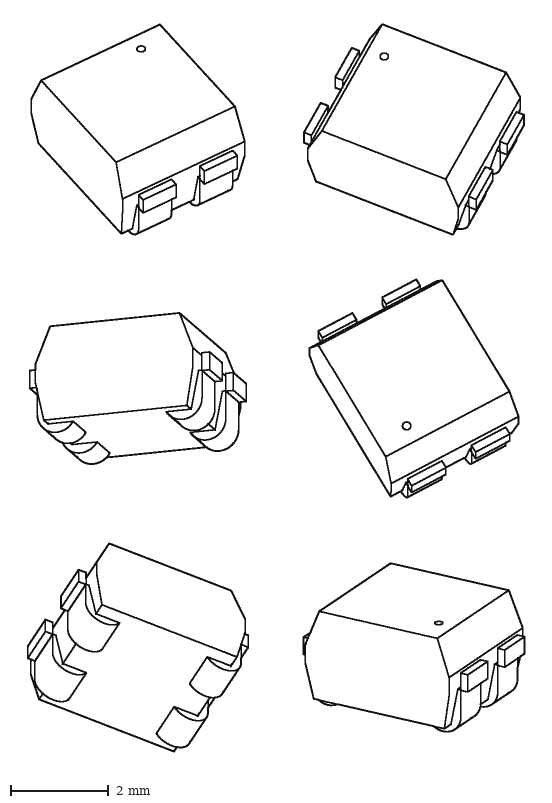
import cadquery as cq

lead_span = 3.9
total_height = 2.19

belt_x, belt_y = 3.412, 3.0
top_x, top_y = 2.805, 2.915
bottom_x, bottom_y = 3.1, 2.85
taper_height = 0.79
belt_height = 0.41
belt_top_z = total_height - taper_height
belt_bottom_z = belt_top_z - belt_height

lead_width = 0.807
lead_pitch = 1.5
leg_outer_x = 1.785
foot_radius = 0.42
foot_center_x = leg_outer_x - foot_radius
leg_inner_x = leg_outer_x - 2 * foot_radius
tab_outer_x = lead_span / 2
tab_height = 0.382
tab_bottom_z = belt_bottom_z + (belt_height - tab_height) / 2
tab_top_z = tab_bottom_z + tab_height
corner_overlap = 0.008
tab_inner_x = leg_outer_x - corner_overlap
leg_top_z = tab_bottom_z + corner_overlap

marker_diameter = 0.17
marker_depth = 0.04
marker_x = -1.025
marker_y = lead_pitch / 2


def make_taper(belt_z, end_x, end_y, direction):
    """Loft from the belt outline to a smaller end, upward (1) or downward (-1)."""
    return (
        cq.Workplane("XY", origin=(0, 0, belt_z))
        .rect(belt_x, belt_y)
        .workplane(offset=direction * taper_height)
        .rect(end_x, end_y)
        .loft(ruled=True)
    )


def make_housing_block():
    belt = (
        cq.Workplane("XY", origin=(0, 0, belt_bottom_z))
        .rect(belt_x, belt_y)
        .extrude(belt_height)
    )
    upper_half = make_taper(belt_top_z, top_x, top_y, 1)
    lower_half = make_taper(belt_bottom_z, bottom_x, bottom_y, -1)
    return belt.union(upper_half).union(lower_half)


def make_marker():
    return (
        cq.Workplane("XY", origin=(marker_x, marker_y, total_height))
        .circle(marker_diameter / 2)
        .extrude(-marker_depth)
    )


def make_lead(side, lead_y, housing_block):
    """One lead on the +X (side 1) or -X (side -1) face, fitted against the housing."""
    profile = (
        cq.Workplane("XZ", origin=(0, lead_y + lead_width / 2, 0))
        .moveTo(side * tab_outer_x, tab_top_z)
        .lineTo(side * tab_inner_x, tab_top_z)
        .lineTo(side * tab_inner_x, leg_top_z)
        .lineTo(side * leg_inner_x, leg_top_z)
        .lineTo(side * leg_inner_x, foot_radius)
        .threePointArc((side * foot_center_x, 0), (side * leg_outer_x, foot_radius))
        .lineTo(side * leg_outer_x, tab_bottom_z)
        .lineTo(side * tab_outer_x, tab_bottom_z)
        .close()
    )
    return profile.extrude(lead_width).cut(housing_block).solids()


housing_block = make_housing_block()
marker = make_marker()
housing = housing_block.cut(marker).solids()

leads = []
for side in (-1, 1):
    for lead_y in (-lead_pitch / 2, lead_pitch / 2):
        lead = make_lead(side, lead_y, housing_block)
        leads.append(lead.val())

result = cq.Compound.makeCompound([housing.val(), marker.val(), *leads])